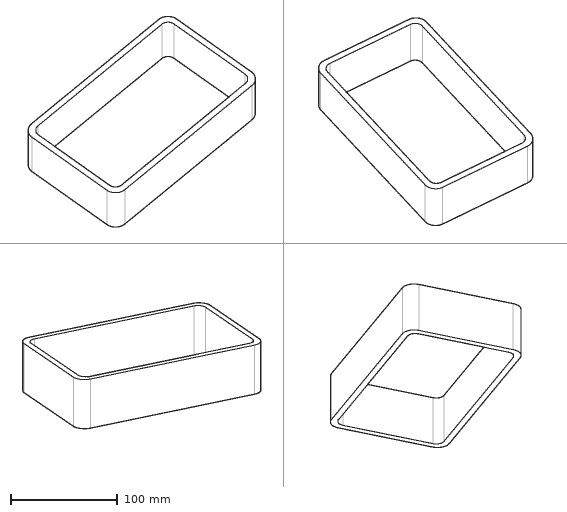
import cadquery as cq

width = 120.0
depth = 200.0
height = 50.0
wall = 6.3
outer_radius = 12.0
inner_radius = 8.0


def rounded_block(size_x, size_y, corner_radius):
    """Upright block standing on Z = 0 with rounded vertical edges."""
    block = cq.Workplane("XY").rect(size_x, size_y).extrude(height)
    return block.edges("|Z").fillet(corner_radius)


outer_block = rounded_block(width, depth, outer_radius)
opening = rounded_block(width - 2 * wall, depth - 2 * wall, inner_radius)

result = outer_block.cut(opening)